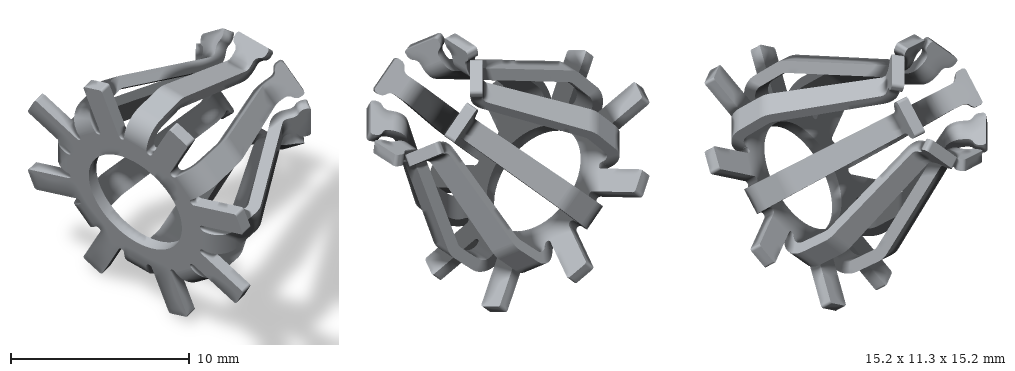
import cadquery as cq
import math


sheet = 0.7
count = 8
pitch = 360 / count

hole_radius = 3.3
foot_half_width = 0.71
foot_reach = 7.98
foot_corner = 0.15
notch_radius = 0.2

height = 11.25
bend_start = 4.8
root_half_width = 0.79
neck_half_width = 0.65
bend_radius = 1.5 * sheet
neck_bend_radius = 0.8
root_turn = 87.8
shoulder_turn = 29.0
neck_turn = -62.0
upright_length = 1.58

flare_length = 1.35
head_half_width = 1.14
head_side_end = 0.33
head_curve_length = 0.76
head_corner = 0.18


def polar(radius, degrees):
    """Point at a radius and angle about the origin."""
    angle = math.radians(degrees)
    return (radius * math.cos(angle), radius * math.sin(angle))


def shifted(point, distance, heading):
    """Point moved a distance along a heading in degrees."""
    dx, dy = polar(distance, heading)
    return (point[0] + dx, point[1] + dy)


def rotated(point, degrees):
    """Point turned about the origin."""
    return polar(math.hypot(*point), math.degrees(math.atan2(point[1], point[0])) + degrees)


def around_axis(solid):
    """Copies of a solid at every pitch about the Y axis, joined together."""
    joined = solid
    for i in range(1, count):
        joined = joined.union(solid.rotate((0, 0, 0), (0, 1, 0), i * pitch))
    return joined


def make_ring():
    """Flat ring with feet, and stubs that end where the fingers start to bend."""
    half_pitch = math.radians(pitch / 2)
    notch_x = (foot_half_width + root_half_width * math.cos(half_pitch)) / math.sin(half_pitch)
    sector = [
        (bend_start, -root_half_width),
        (bend_start, root_half_width),
        (notch_x, root_half_width),
        rotated((foot_reach, -foot_half_width), pitch / 2),
        rotated((foot_reach, foot_half_width), pitch / 2),
        rotated((notch_x, -root_half_width), pitch),
    ]
    outline = [rotated(point, i * pitch) for i in range(count) for point in sector]
    ring = cq.Workplane("XZ").polyline(outline).close().extrude(-sheet)

    def from_axis(edge):
        return math.hypot(edge.Center().x, edge.Center().z)

    notches = ring.edges("|Y").filter(lambda edge: from_axis(edge) < bend_start)
    ring = notches.fillet(notch_radius)
    corners = ring.edges("|Y").filter(lambda edge: from_axis(edge) > foot_reach)
    ring = corners.fillet(foot_corner)
    hole = cq.Workplane("XZ").circle(hole_radius).extrude(-sheet)
    return ring.cut(hole)


def bend(start, turn, radius):
    """Middle and end stations of an arc from a station; a positive turn is to the left."""
    point, heading = start
    side = math.copysign(90, turn)
    center = shifted(point, radius, heading + side)

    def station(turned):
        return shifted(center, radius, heading + turned - side), heading + turned

    return station(turn / 2), station(turn)


def straight(start, length):
    """Station at the end of a straight run."""
    point, heading = start
    return shifted(point, length, heading), heading


def beside(station, distance):
    """Point beside a station, positive to the left of its heading."""
    point, heading = station
    return shifted(point, distance, heading + 90)


def slant_length(slant_start):
    """Length of the slanted run that brings the top corner of the head to full height."""
    neck_end = bend(slant_start, neck_turn, neck_bend_radius)[1]
    top = beside(straight(neck_end, flare_length), sheet / 2)
    return (height - top[1]) / math.sin(math.radians(slant_start[1]))


def finger_stations():
    """Points and headings along the middle of the sheet, from the ring to the neck.

    Each bend gives its start, middle and end, and the straight runs lie between bends.
    """
    root = ((bend_start, sheet / 2), 0)
    root_middle, root_end = bend(root, root_turn, bend_radius)
    shoulder = straight(root_end, upright_length)
    shoulder_middle, shoulder_end = bend(shoulder, shoulder_turn, bend_radius)
    neck = straight(shoulder_end, slant_length(shoulder_end))
    neck_middle, neck_end = bend(neck, neck_turn, neck_bend_radius)
    return [
        root, root_middle, root_end,
        shoulder, shoulder_middle, shoulder_end,
        neck, neck_middle, neck_end,
    ]


def trace_face(profile, points):
    """Draw one face of the strip through the start, middle and end of each bend."""
    for i in range(0, len(points), 3):
        start, middle, end = points[i:i + 3]
        profile = profile.lineTo(*start) if i > 0 else profile
        profile = profile.threePointArc(middle, end)
    return profile


def make_finger():
    """One finger along +X, narrowing from the ring to the neck and ending in a flared head."""
    stations = finger_stations()
    outer_face = [beside(station, -sheet / 2) for station in stations]
    inner_face = [beside(station, sheet / 2) for station in reversed(stations)]

    profile = trace_face(cq.Workplane("XY").moveTo(*outer_face[0]), outer_face)
    profile = trace_face(profile.lineTo(*inner_face[0]), inner_face)
    strip = profile.close().extrude(root_half_width, both=True)

    neck_y = outer_face[-1][1]
    taper = (
        cq.Workplane("YZ")
        .polyline([
            (0, -root_half_width), (neck_y, -neck_half_width), (height, -neck_half_width),
            (height, neck_half_width), (neck_y, neck_half_width), (0, root_half_width),
        ])
        .close()
        .extrude(foot_reach)
    )
    return strip.intersect(taper).union(make_head(stations[-1]))


def make_head(neck_end):
    """Flared T-shaped end of a finger, cut square to its sheet."""
    start, heading = neck_end
    along = polar(1, heading)
    plane = cq.Plane(
        origin=(start[0], start[1], 0),
        xDir=(along[0], along[1], 0),
        normal=(-along[1], along[0], 0),
    )
    curve_end = flare_length - head_side_end
    curve_start = curve_end - head_curve_length
    curve_middle = (curve_start + curve_end) / 2
    middle_half_width = (neck_half_width + head_half_width) / 2
    head = (
        cq.Workplane(plane)
        .moveTo(0, -neck_half_width)
        .lineTo(curve_start, -neck_half_width)
        .tangentArcPoint((curve_middle, -middle_half_width), relative=False)
        .tangentArcPoint((curve_end, -head_half_width), relative=False)
        .lineTo(flare_length, -head_half_width)
        .lineTo(flare_length, head_half_width)
        .lineTo(curve_end, head_half_width)
        .tangentArcPoint((curve_middle, middle_half_width), relative=False)
        .tangentArcPoint((curve_start, neck_half_width), relative=False)
        .lineTo(0, neck_half_width)
        .close()
        .extrude(sheet / 2, both=True)
    )
    tip = head.faces(cq.selectors.DirectionMinMaxSelector(plane.xDir))
    return tip.edges(cq.selectors.ParallelDirSelector(plane.zDir)).fillet(head_corner)


result = make_ring().union(around_axis(make_finger()))